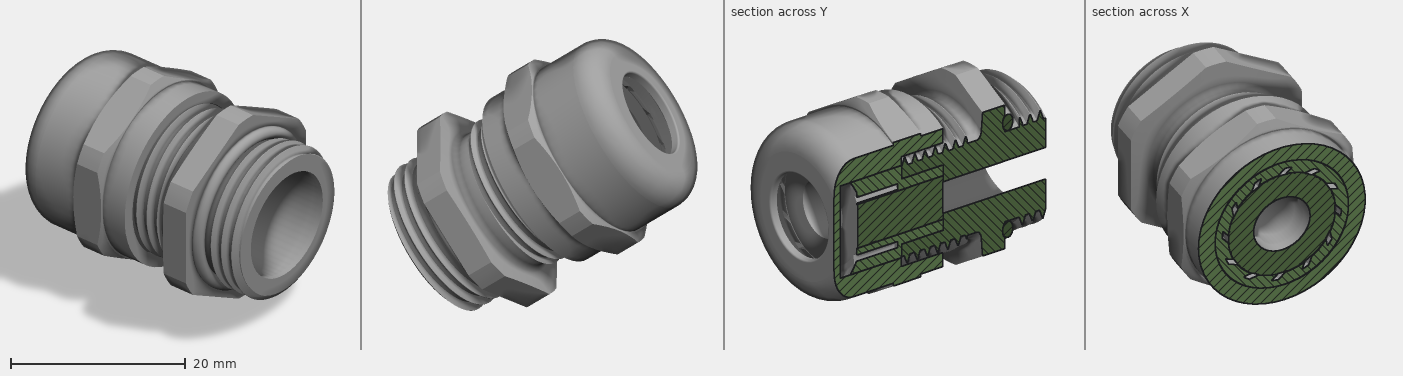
import cadquery as cq
import math


CAP_DIAMETER = 21.52
CAP_END = 16.15
DOME_RADIUS = 3.0
MOUTH_DIAMETER = 10.5
MOUTH_LENGTH = 0.97
MOUTH_FILLET = 0.22
CAVITY_DIAMETER = 17.1
CAP_HEX_START = 8.75
CAP_HEX_END = 12.9
CAP_HEX_CHAMFER = 0.6
CAP_HEX_FACE_DIAMETER = 21.9
CAP_HEX_CORNER_DIAMETER = 24.12

ACROSS_FLATS = 22.0

BODY_START = 10.03
BODY_END = 31.33
CORE_DIAMETER = 17.0
NECK_DIAMETER = 17.17
NECK_START = 19.77
NECK_FILLET = 0.65
FLANGE_START = 21.75
FLANGE_END = 25.3
FLANGE_CORNER_DIAMETER = 24.03
FLANGE_FACE_RISE = 0.3
BODY_SEAT = 16.15
BODY_BORE = 13.2

THREAD_PITCH = 1.5
FRONT_THREAD_DIAMETER = 18.55
FRONT_THREAD_BASE_WIDTH = 0.9
THREAD_CREST_WIDTH = 0.05
THREAD_ROOT_OVERLAP = 0.13
THREAD_CLEARANCE = 0.05
FRONT_THREAD_CREST = 17.42
REAR_THREAD_DIAMETER = 18.67
REAR_THREAD_BASE_WIDTH = 0.97
REAR_THREAD_START = 27.32
REAR_THREAD_CREST = 28.42
REAR_CHAMFER_DIAMETER = 17.33
REAR_CHAMFER_LENGTH = 0.45

RING_SECTION = 1.5
RING_SEAT_DEPTH = 0.35

SEAL_FACE = 3.48
SEAL_DIAMETER = 13.72
SEAL_BORE = 7.2
CAGE_DIAMETER = 15.0
CAGE_FACE = 3.38
CAGE_FACE_DIAMETER = 15.23
CAGE_FACE_FILLET = 0.3
SLOT_COUNT = 12
SLOT_WIDTH = 0.63
SLOT_LENGTH = 3.75
SLOT_SLANT = 50.0
SLOT_ROOT_DIAMETER = 15.3
SLOT_END = 9.4


def revolve_x(points):
    """Revolve a closed outline of (x, radius) points about the X axis."""
    return cq.Workplane("XY").polyline(points).close().revolve(360, (0, 0, 0), (1, 0, 0))


def rod(start, end, diameter):
    """Cylinder on the X axis."""
    return cq.Workplane("YZ").workplane(offset=start).circle(diameter / 2).extrude(end - start)


def hexagon(start, end):
    """Hexagonal bar with flats on +Y and -Y and corners on +Z and -Z."""
    corner_circle = ACROSS_FLATS / math.cos(math.pi / 6)
    bar = cq.Workplane("YZ").workplane(offset=start).polygon(6, corner_circle).extrude(end - start)
    return bar.rotate((0, 0, 0), (1, 0, 0), 30)


def thread_ridge(diameter, base_width, crest_at_y, start, end):
    """Helical ridge whose crest passes x = crest_at_y on the +Y side, trimmed square at both ends."""
    turns_before = math.ceil((crest_at_y - start) / THREAD_PITCH) + 1
    turns_after = math.ceil((end - crest_at_y) / THREAD_PITCH) + 1
    helix_start = crest_at_y - turns_before * THREAD_PITCH
    helix_length = (turns_before + turns_after) * THREAD_PITCH
    core_radius = CORE_DIAMETER / 2
    crest_radius = diameter / 2
    root_radius = core_radius - THREAD_ROOT_OVERLAP
    flank_slope = (base_width - THREAD_CREST_WIDTH) / 2 / (crest_radius - core_radius)
    half_root = base_width / 2 + flank_slope * THREAD_ROOT_OVERLAP
    half_crest = THREAD_CREST_WIDTH / 2
    path = cq.Wire.makeHelix(THREAD_PITCH, helix_length, core_radius)
    ridge = (
        cq.Workplane("XZ")
        .polyline(
            [
                (root_radius, -half_root),
                (crest_radius, -half_crest),
                (crest_radius, half_crest),
                (root_radius, half_root),
            ]
        )
        .close()
        .sweep(cq.Workplane(path), isFrenet=True)
    )
    ridge = ridge.rotate((0, 0, 0), (1, 1, 1), 120).translate((helix_start, 0, 0))
    return ridge.intersect(rod(start, end, 2 * diameter))


def make_cap():
    shell = rod(0, CAP_END, CAP_DIAMETER).faces("<X").edges().fillet(DOME_RADIUS)
    face_radius = CAP_HEX_FACE_DIAMETER / 2
    corner_radius = CAP_HEX_CORNER_DIAMETER / 2
    hex_limit = revolve_x(
        [
            (CAP_HEX_START, 0),
            (CAP_HEX_START, face_radius),
            (CAP_HEX_START + CAP_HEX_CHAMFER, corner_radius),
            (CAP_HEX_END - CAP_HEX_CHAMFER, corner_radius),
            (CAP_HEX_END, face_radius),
            (CAP_HEX_END, 0),
        ]
    )
    cap = shell.union(hexagon(CAP_HEX_START, CAP_HEX_END).intersect(hex_limit))
    cap = cap.cut(rod(0, MOUTH_LENGTH, MOUTH_DIAMETER))
    mouth_rim = cq.selectors.RadiusNthSelector(0)
    cap = cap.faces("<X").edges(mouth_rim).fillet(MOUTH_FILLET)
    cap = cap.cut(rod(MOUTH_LENGTH, BODY_START, CAVITY_DIAMETER))
    return cap.cut(rod(BODY_START, CAP_END, FRONT_THREAD_DIAMETER + 2 * THREAD_CLEARANCE))


def make_ring():
    """Torus that hugs the core and sits partly in the rear face of the flange."""
    section_radius = RING_SECTION / 2
    center_x = FLANGE_END - RING_SEAT_DEPTH + section_radius
    center_radius = CORE_DIAMETER / 2 + section_radius
    return (
        cq.Workplane("XY")
        .center(center_x, center_radius)
        .circle(section_radius)
        .revolve(360, (0, -center_radius, 0), (1, -center_radius, 0))
    )


def front_thread():
    return thread_ridge(
        FRONT_THREAD_DIAMETER, FRONT_THREAD_BASE_WIDTH, FRONT_THREAD_CREST, BODY_START, NECK_START
    )


def rear_thread():
    """Ridge chamfered at the free end of the body."""
    ridge = thread_ridge(
        REAR_THREAD_DIAMETER, REAR_THREAD_BASE_WIDTH, REAR_THREAD_CREST, REAR_THREAD_START, BODY_END
    )
    crest_radius = REAR_THREAD_DIAMETER / 2
    end_radius = REAR_CHAMFER_DIAMETER / 2
    outside_chamfer = revolve_x(
        [
            (BODY_END - REAR_CHAMFER_LENGTH, crest_radius),
            (BODY_END, end_radius),
            (BODY_END, crest_radius),
        ]
    )
    return ridge.cut(outside_chamfer)


def make_body():
    neck_radius = NECK_DIAMETER / 2
    core = rod(BODY_START, BODY_END, CORE_DIAMETER)
    core = core.union(front_thread()).union(rear_thread())
    fillet_turn = NECK_FILLET * math.sqrt(0.5)
    neck = (
        cq.Workplane("XY")
        .moveTo(NECK_START, 0)
        .lineTo(NECK_START, neck_radius)
        .lineTo(FLANGE_START - NECK_FILLET, neck_radius)
        .threePointArc(
            (FLANGE_START - NECK_FILLET + fillet_turn, neck_radius + NECK_FILLET - fillet_turn),
            (FLANGE_START, neck_radius + NECK_FILLET),
        )
        .lineTo(FLANGE_START + FLANGE_FACE_RISE, FLANGE_CORNER_DIAMETER / 2)
        .lineTo(FLANGE_END, FLANGE_CORNER_DIAMETER / 2)
        .lineTo(FLANGE_END, 0)
        .close()
        .revolve(360, (0, 0, 0), (1, 0, 0))
    )
    flange = neck.intersect(hexagon(NECK_START, FLANGE_END))
    body = core.union(flange)
    body = body.cut(rod(BODY_START, BODY_SEAT, CAGE_DIAMETER))
    body = body.cut(rod(BODY_SEAT, BODY_END, BODY_BORE))
    return body.cut(make_ring())


def cage_slot(angle):
    """Slot that leaves the cage bore slanted from the radial direction, cut from the cage face."""
    slot = (
        cq.Workplane("XY")
        .box(SLOT_END, SLOT_LENGTH, SLOT_WIDTH, centered=(False, True, True))
        .rotate((0, 0, 0), (1, 0, 0), SLOT_SLANT)
        .translate((0, SEAL_DIAMETER / 2, 0))
        .intersect(rod(0, SLOT_END, SLOT_ROOT_DIAMETER))
    )
    return slot.rotate((0, 0, 0), (1, 0, 0), angle)


def make_cage():
    face_radius = CAGE_FACE_DIAMETER / 2
    collar_radius = CAVITY_DIAMETER / 2
    tip = CAGE_FACE - (collar_radius - face_radius)
    collar = revolve_x(
        [
            (CAGE_FACE, 0),
            (CAGE_FACE, face_radius),
            (tip, collar_radius),
            (BODY_START, collar_radius),
            (BODY_START, 0),
        ]
    )
    funnel_root = cq.selectors.NearestToPointSelector((CAGE_FACE, 0, 0))
    collar = collar.edges("%CIRCLE").edges(funnel_root).fillet(CAGE_FACE_FILLET)
    cage = collar.union(rod(BODY_START, BODY_SEAT, CAGE_DIAMETER))
    cage = cage.cut(rod(CAGE_FACE, BODY_SEAT, SEAL_DIAMETER))
    for i in range(SLOT_COUNT):
        cage = cage.cut(cage_slot(i * 360 / SLOT_COUNT))
    return cage


def make_seal():
    return rod(SEAL_FACE, BODY_SEAT, SEAL_DIAMETER).cut(rod(SEAL_FACE, BODY_SEAT, SEAL_BORE))


cap = make_cap()
body = make_body()
ring = make_ring()
cage = make_cage()
seal = make_seal()

bodies = [cap, body, ring, cage, seal]
result = cq.Compound.makeCompound([item.solids().val() for item in bodies])